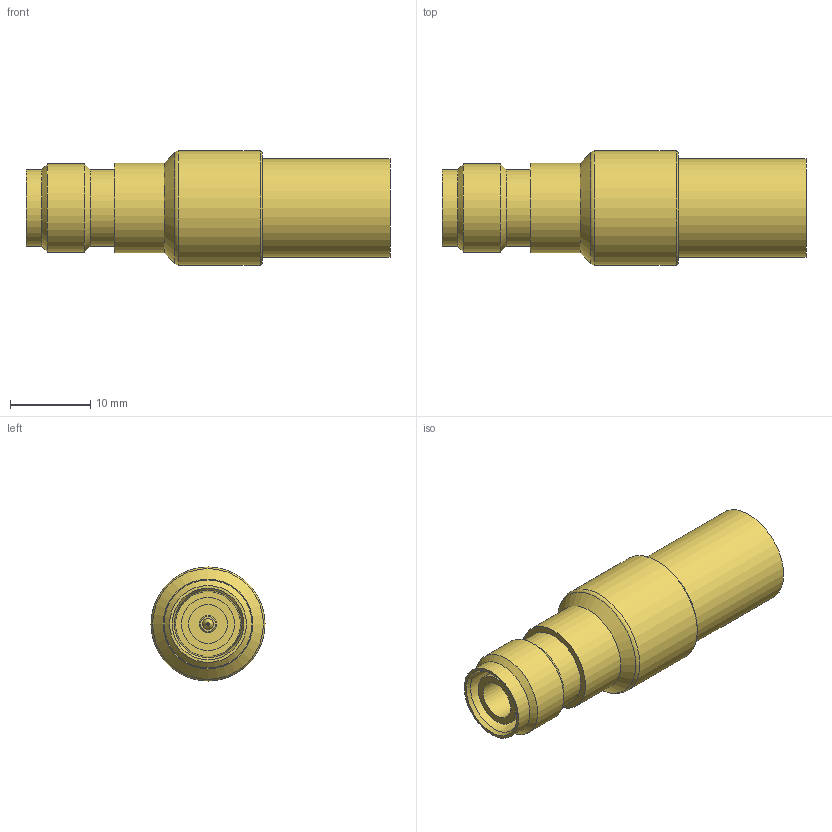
import cadquery as cq
import math


total_length = 45.48
nose_end = 1.95
thread_end = 8.0
neck_end = 11.0
barrel_end = 17.25
collar_end = 29.5

nose_radius = 4.8
thread_radius = 5.5
barrel_radius = 5.6
collar_radius = 7.125
sleeve_radius = 6.15

thread_chamfer = thread_radius - nose_radius
collar_cone_angle = 45.0
collar_blend_radius = 0.7
collar_rear_chamfer = 0.25

mouth_radius = 4.47
lead_in_radius = 4.2
lead_in_depth = 0.5
socket_floor_radius = 4.05
socket_depth = 6.0

tube_outer_radius = 3.3
tube_inner_radius = 2.43
tube_recess = 0.95

shoulder_radius = 1.08
shoulder_chamfer = 0.12
shoulder_height = 0.5
pin_radius = 0.68
pin_tip_radius = 0.15
pin_recess = 3.4
pin_taper_angle = 30.0


def revolve_about_x(profile):
    """Spin a closed (x, radius) profile a full turn about the X axis."""
    return profile.close().revolve(360, (0, 0, 0), (1, 0, 0))


def make_body():
    """Solid stepped outside of the connector."""
    cone_angle = math.radians(collar_cone_angle)
    cone_end_radius = collar_radius - collar_blend_radius * (1 - math.cos(cone_angle))
    cone_end = barrel_end + (cone_end_radius - barrel_radius) / math.tan(cone_angle)
    blend_end = cone_end + collar_blend_radius * math.sin(cone_angle)
    blend_middle = (
        blend_end - collar_blend_radius * math.sin(cone_angle / 2),
        collar_radius - collar_blend_radius * (1 - math.cos(cone_angle / 2)),
    )
    profile = (
        cq.Workplane("XY")
        .moveTo(0, 0)
        .lineTo(0, nose_radius)
        .lineTo(nose_end, nose_radius)
        .lineTo(nose_end + thread_chamfer, thread_radius)
        .lineTo(thread_end - thread_chamfer, thread_radius)
        .lineTo(thread_end, nose_radius)
        .lineTo(neck_end, nose_radius)
        .lineTo(neck_end, barrel_radius)
        .lineTo(barrel_end, barrel_radius)
        .lineTo(cone_end, cone_end_radius)
        .threePointArc(blend_middle, (blend_end, collar_radius))
        .lineTo(collar_end - collar_rear_chamfer, collar_radius)
        .lineTo(collar_end, collar_radius - collar_rear_chamfer)
        .lineTo(collar_end, sleeve_radius)
        .lineTo(total_length, sleeve_radius)
        .lineTo(total_length, 0)
    )
    return revolve_about_x(profile)


def make_socket():
    """Tapered cavity with a conical lead-in at its mouth."""
    profile = (
        cq.Workplane("XY")
        .moveTo(0, 0)
        .lineTo(0, mouth_radius)
        .lineTo(lead_in_depth, lead_in_radius)
        .lineTo(socket_depth, socket_floor_radius)
        .lineTo(socket_depth, 0)
    )
    return revolve_about_x(profile)


def make_insulator_tube():
    """Plain tube from its recessed tip to the socket floor."""
    return (
        cq.Workplane("YZ", origin=(tube_recess, 0, 0))
        .circle(tube_outer_radius)
        .circle(tube_inner_radius)
        .extrude(socket_depth - tube_recess)
    )


def make_contact():
    """Chamfered shoulder on the socket floor with the taper-tipped pin in front of it."""
    shoulder_face = socket_depth - shoulder_height
    taper_length = (pin_radius - pin_tip_radius) / math.tan(math.radians(pin_taper_angle))
    profile = (
        cq.Workplane("XY")
        .moveTo(pin_recess, 0)
        .lineTo(pin_recess, pin_tip_radius)
        .lineTo(pin_recess + taper_length, pin_radius)
        .lineTo(shoulder_face, pin_radius)
        .lineTo(shoulder_face, shoulder_radius - shoulder_chamfer)
        .lineTo(shoulder_face + shoulder_chamfer, shoulder_radius)
        .lineTo(socket_depth, shoulder_radius)
        .lineTo(socket_depth, 0)
    )
    return revolve_about_x(profile)


result = make_body().cut(make_socket()).union(make_insulator_tube()).union(make_contact())